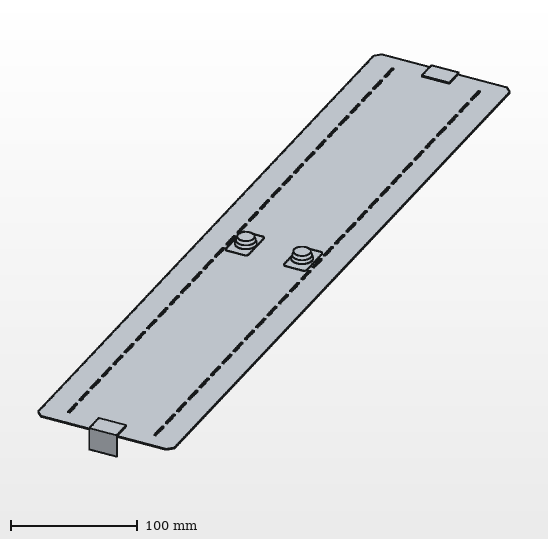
import cadquery as cq


overall_length = 604.5
clip_thickness = 1.0
clip_width = 24.0
clip_drop = 19.0
clip_top_leg = 17.0

plate_width = 120.0
plate_length = overall_length - 2 * clip_thickness
plate_thickness = 1.0
corner_chamfer = 5.0

slot_count = 29
slot_pitch = 20.0
slot_length = 14.0
slot_width = 1.5
slot_row_x = 38.0

pad_inner_x = 16.0
pad_width = 20.0
pad_length = 31.5
pad_height = 0.5
pad_corner_radius = 2.5
boss_x = 25.0
boss_diameter = 17.5
boss_height = 0.5

disc_thickness = 0.25
lower_disc_diameter = 16.0
lower_disc_z = 3.5
upper_disc_diameter = 14.0
upper_disc_top_z = 7.0
upper_disc_z = upper_disc_top_z - disc_thickness

SIDES = (-1, 1)


def make_slot_cutters():
    row_start = -(slot_count - 1) / 2 * slot_pitch
    centres = [
        (side * slot_row_x, row_start + index * slot_pitch)
        for side in SIDES
        for index in range(slot_count)
    ]
    return (
        cq.Workplane("XY")
        .pushPoints(centres)
        .rect(slot_width, slot_length)
        .extrude(-plate_thickness)
    )


def make_pad(side):
    """Pad with rounded corners and a round boss on top."""
    pad = (
        cq.Workplane("XY")
        .center(side * (pad_inner_x + pad_width / 2), 0)
        .rect(pad_width, pad_length)
        .extrude(pad_height)
        .edges("|Z")
        .fillet(pad_corner_radius)
    )
    boss = (
        cq.Workplane("XY")
        .center(side * boss_x, 0)
        .circle(boss_diameter / 2)
        .extrude(pad_height + boss_height)
    )
    return pad.union(boss)


def make_plate():
    plate = (
        cq.Workplane("XY")
        .rect(plate_width, plate_length)
        .extrude(-plate_thickness)
        .edges("|Z")
        .chamfer(corner_chamfer)
        .cut(make_slot_cutters())
    )
    for side in SIDES:
        plate = plate.union(make_pad(side))
    return plate


def make_clip(side):
    """L-shaped clip hugging the plate end at +Y or -Y."""
    outer_y = side * overall_length / 2
    plate_end_y = side * plate_length / 2
    leg_end_y = outer_y - side * clip_top_leg
    bottom_z = -clip_drop
    profile = [
        (leg_end_y, 0),
        (leg_end_y, clip_thickness),
        (outer_y, clip_thickness),
        (outer_y, bottom_z),
        (plate_end_y, bottom_z),
        (plate_end_y, 0),
    ]
    return cq.Workplane("YZ").polyline(profile).close().extrude(clip_width / 2, both=True)


def make_disc(side, diameter, bottom_z):
    return (
        cq.Workplane("XY", origin=(side * boss_x, 0, bottom_z))
        .circle(diameter / 2)
        .extrude(disc_thickness)
    )


plate = make_plate()
clips = [make_clip(side) for side in SIDES]
lower_discs = [make_disc(side, lower_disc_diameter, lower_disc_z) for side in SIDES]
upper_discs = [make_disc(side, upper_disc_diameter, upper_disc_z) for side in SIDES]

bodies = [plate, *clips, *lower_discs, *upper_discs]
result = cq.Compound.makeCompound([body.val() for body in bodies])